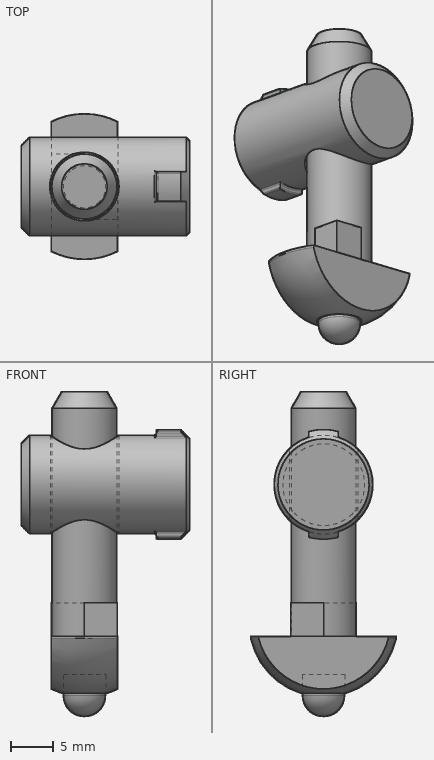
import cadquery as cq
import math

BAR_LENGTH = 20.0
BAR_RADIUS = 11.7 / 2
BAR_AXIS_Z = 27.5
BAR_FRONT_CHAMFER = 1.0
BAR_REAR_CHAMFER = 0.45
CROSS_HOLE_DIAMETER = 8.15

KEY_CROWN_RADIUS = 6.5
KEY_WIDTH = 3.5
KEY_LENGTH = 4.0
KEY_EDGE_FILLET = 0.2
KEY_BASE_FILLET = 0.2
EDGE_MATCH_MARGIN = 0.05

BOLT_X = 7.5
BOLT_TOP_Z = 38.5
SHANK_DIAMETER = 7.7
TIP_LENGTH = 2.0
TIP_HALF_ANGLE = 30.0
HEAD_TOP_Z = 9.5
HEAD_DIAMETER = 17.27
HEAD_RIM_HEIGHT = 0.25
HEAD_SPHERE_RADIUS = 8.85
HEAD_WIDTH = 7.9
NECK_HEIGHT = 4.0
NECK_WIDTH = 7.8

PIN_DIAMETER = 5.0
PIN_LENGTH = 5.0
PIN_STANDOUT = 2.75


def make_bar_envelope():
    """Chamfered outline that trims both the crossbar and the sloped rear ends of the keys."""
    front_radius = BAR_RADIUS - BAR_FRONT_CHAMFER
    rear_radius = BAR_RADIUS - BAR_REAR_CHAMFER
    rear_slope = KEY_CROWN_RADIUS - rear_radius
    front_slope = KEY_CROWN_RADIUS - front_radius
    return (
        cq.Workplane("XZ", origin=(0, 0, BAR_AXIS_Z))
        .polyline([
            (0, 0),
            (0, front_radius),
            (front_slope, KEY_CROWN_RADIUS),
            (BAR_LENGTH - rear_slope, KEY_CROWN_RADIUS),
            (BAR_LENGTH, rear_radius),
            (BAR_LENGTH, 0),
        ])
        .close()
        .revolve(360, (0, 0, 0), (1, 0, 0))
    )


def make_key(side):
    """Key with a rounded crown; side is +1 for the top of the bar and -1 for the bottom."""
    key_start = BAR_LENGTH - KEY_LENGTH
    crown = (
        cq.Workplane("YZ", origin=(key_start, 0, BAR_AXIS_Z))
        .circle(KEY_CROWN_RADIUS)
        .extrude(KEY_LENGTH)
    )
    block = (
        cq.Workplane("XY", origin=(key_start, 0, BAR_AXIS_Z))
        .rect(2 * KEY_LENGTH, KEY_WIDTH)
        .extrude(side * BAR_RADIUS * 2)
    )
    key = crown.intersect(block)
    crown_face = ">Z" if side > 0 else "<Z"
    return key.faces(crown_face).edges("not >X").fillet(KEY_EDGE_FILLET)


def select_key_base_edges(bar):
    """Edges where the key walls stand on the round surface of the bar."""
    wall_y = KEY_WIDTH / 2
    wall_foot = math.sqrt(BAR_RADIUS**2 - wall_y**2)
    margin = EDGE_MATCH_MARGIN
    edges = []
    for edge in bar.edges().vals():
        box = edge.BoundingBox()
        heights = (abs(box.zmin - BAR_AXIS_Z), abs(box.zmax - BAR_AXIS_Z))
        on_bar = min(heights) > wall_foot - margin and max(heights) < BAR_RADIUS + margin
        on_key = max(abs(box.ymin), abs(box.ymax)) < wall_y + margin
        along_wall = box.xmin > BAR_LENGTH - KEY_LENGTH - margin
        at_end = box.xmin > BAR_LENGTH - margin
        if on_bar and on_key and along_wall and not at_end:
            edges.append(edge)
    return bar.newObject(edges)


def make_crossbar():
    bar = (
        cq.Workplane("YZ", origin=(0, 0, BAR_AXIS_Z))
        .circle(BAR_RADIUS)
        .extrude(BAR_LENGTH)
    )
    for side in (1, -1):
        bar = bar.union(make_key(side))
    bar = select_key_base_edges(bar).fillet(KEY_BASE_FILLET)
    bar = bar.intersect(make_bar_envelope())
    cross_hole = (
        cq.Workplane("XY", origin=(BOLT_X, 0, 0))
        .circle(CROSS_HOLE_DIAMETER / 2)
        .extrude(BOLT_TOP_Z)
    )
    return bar.cut(cross_hole)


def make_head():
    """Spherical head with a thin straight rim, cut to HEAD_WIDTH by two flats."""
    rim_radius = HEAD_DIAMETER / 2
    rim_z = HEAD_TOP_Z - HEAD_RIM_HEIGHT
    center_z = rim_z + math.sqrt(HEAD_SPHERE_RADIUS**2 - rim_radius**2)
    half = math.sqrt(0.5)
    mid_point = (HEAD_SPHERE_RADIUS * half, center_z - HEAD_SPHERE_RADIUS * half)
    dome = (
        cq.Workplane("XZ")
        .moveTo(0, HEAD_TOP_Z)
        .lineTo(rim_radius, HEAD_TOP_Z)
        .lineTo(rim_radius, rim_z)
        .threePointArc(mid_point, (0, center_z - HEAD_SPHERE_RADIUS))
        .close()
        .revolve(360, (0, 0, 0), (0, 1, 0))
    )
    slab = (
        cq.Workplane("XY")
        .rect(HEAD_WIDTH, HEAD_DIAMETER)
        .extrude(HEAD_TOP_Z)
    )
    return dome.intersect(slab)


def make_shank():
    radius = SHANK_DIAMETER / 2
    tip_radius = radius - TIP_LENGTH * math.tan(math.radians(TIP_HALF_ANGLE))
    return (
        cq.Workplane("XZ")
        .polyline([
            (0, HEAD_TOP_Z),
            (radius, HEAD_TOP_Z),
            (radius, BOLT_TOP_Z - TIP_LENGTH),
            (tip_radius, BOLT_TOP_Z),
            (0, BOLT_TOP_Z),
        ])
        .close()
        .revolve(360, (0, 0, 0), (0, 1, 0))
    )


def make_neck_corners():
    """Two square anti-rotation corners on opposite quarters of the shank."""
    quarter = NECK_WIDTH / 2
    return (
        cq.Workplane("XY", origin=(0, 0, HEAD_TOP_Z))
        .pushPoints([(quarter / 2, -quarter / 2), (-quarter / 2, quarter / 2)])
        .rect(quarter, quarter)
        .extrude(NECK_HEIGHT)
    )


def make_pressure_pin():
    """Vertical pin whose lower end is a full hemisphere touching Z = 0."""
    radius = PIN_DIAMETER / 2
    nose_offset = radius * math.sqrt(0.5)
    return (
        cq.Workplane("XZ", origin=(BOLT_X, 0, 0))
        .moveTo(0, 0)
        .threePointArc((nose_offset, radius - nose_offset), (radius, radius))
        .lineTo(radius, PIN_LENGTH)
        .lineTo(0, PIN_LENGTH)
        .close()
        .revolve(360, (0, 0, 0), (0, 1, 0))
    )


def make_pin_seat():
    """Material removed below the head: everything under the seat flat, plus the pin's blind hole."""
    flat_cutter = (
        cq.Workplane("XY", origin=(BOLT_X, 0, 0))
        .rect(HEAD_DIAMETER, HEAD_DIAMETER)
        .extrude(PIN_STANDOUT)
    )
    pin_hole = (
        cq.Workplane("XY", origin=(BOLT_X, 0, 0))
        .circle(PIN_DIAMETER / 2)
        .extrude(PIN_LENGTH)
    )
    return flat_cutter.union(pin_hole)


def make_bolt():
    bolt = make_head().union(make_shank()).union(make_neck_corners())
    return bolt.translate((BOLT_X, 0, 0)).cut(make_pin_seat())


crossbar = make_crossbar()
pressure_pin = make_pressure_pin()
bolt = make_bolt()

result = cq.Compound.makeCompound([crossbar.val(), bolt.val(), pressure_pin.val()])